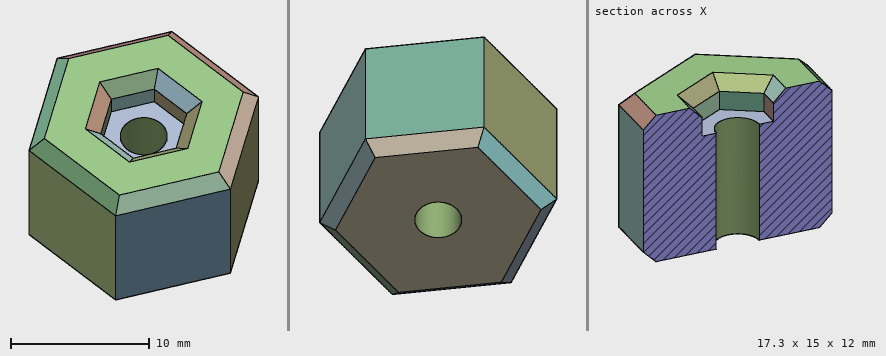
import cadquery as cq
import math

corner_width = 17.32
height = 12.0
chamfer = 1.0
socket_flats = 5.61
socket_depth = 2.5
bore_diameter = 3.4

CORNERS_PER_FLATS = 1 / math.cos(math.pi / 6)
socket_corners = socket_flats * CORNERS_PER_FLATS


def make_body():
    """Hexagonal block standing on Z = 0, chamfered around both end faces."""
    block = cq.Workplane("XY").polygon(6, corner_width).extrude(height)
    return block.faces("<Z or >Z").edges().chamfer(chamfer)


def make_socket():
    """Hexagonal socket with a mouth that flares out to the top face."""
    mouth_corners = (socket_flats + 2 * chamfer) * CORNERS_PER_FLATS
    pocket = (
        cq.Workplane("XY", origin=(0, 0, height - socket_depth))
        .polygon(6, socket_corners)
        .extrude(socket_depth)
    )
    mouth = (
        cq.Workplane("XY", origin=(0, 0, height - chamfer))
        .polygon(6, socket_corners)
        .workplane(offset=chamfer)
        .polygon(6, mouth_corners)
        .loft(ruled=True)
    )
    return pocket.union(mouth)


def make_bore():
    """Round hole through the full height."""
    return cq.Workplane("XY").circle(bore_diameter / 2).extrude(height)


result = make_body().cut(make_socket()).cut(make_bore())